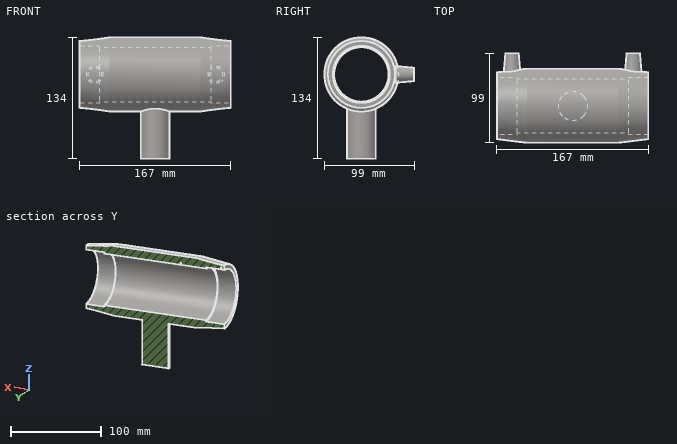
import cadquery as cq
import math

LENGTH = 167.0
BODY_RADIUS = 82.0 / 2
END_RADIUS = 73.8 / 2
TAPER_LENGTH = LENGTH / 5
SOCKET_RADIUS = 63.0 / 2
SOCKET_DEPTH = 22.0
BORE_RADIUS = 59.85 / 2

BRANCH_RADIUS = 32.0 / 2
BRANCH_REACH = 93.0

TERMINAL_REACH = 58.0
TERMINAL_TIP_RADIUS = 15.0 / 2
TERMINAL_TAPER = math.radians(5)
TERMINAL_ROOT = (SOCKET_RADIUS + END_RADIUS) / 2
TERMINAL_X = (LENGTH - TAPER_LENGTH) / 2

HALF_LENGTH = LENGTH / 2
SHOULDER_X = HALF_LENGTH - TAPER_LENGTH


def sleeve_envelope():
    """Solid outer shape of the sleeve: a cylinder with conical ends."""
    return (
        cq.Workplane("XY")
        .moveTo(-HALF_LENGTH, 0)
        .lineTo(-HALF_LENGTH, END_RADIUS)
        .lineTo(-SHOULDER_X, BODY_RADIUS)
        .lineTo(SHOULDER_X, BODY_RADIUS)
        .lineTo(HALF_LENGTH, END_RADIUS)
        .lineTo(HALF_LENGTH, 0)
        .close()
        .revolve(360, (0, 0, 0), (1, 0, 0))
    )


def axial_cylinder(radius, length):
    """Cylinder along X, centred on the origin."""
    start = cq.Workplane("YZ").workplane(offset=-length / 2)
    return start.circle(radius).extrude(length)


def branch_pipe():
    """Plain pipe from the sleeve axis down to its end."""
    return cq.Workplane("XY").circle(BRANCH_RADIUS).extrude(-BRANCH_REACH)


def terminal(x):
    """Cone rooted in the sleeve wall, narrowing towards +Y."""
    height = TERMINAL_REACH - TERMINAL_ROOT
    root_radius = TERMINAL_TIP_RADIUS + height * math.tan(TERMINAL_TAPER)
    root = cq.Vector(x, TERMINAL_ROOT, 0)
    along_y = cq.Vector(0, 1, 0)
    return cq.Solid.makeCone(root_radius, TERMINAL_TIP_RADIUS, height, root, along_y)


def stepped_bore():
    """Through bore with a wider pipe socket at each end."""
    bore = axial_cylinder(BORE_RADIUS, LENGTH)
    sockets = axial_cylinder(SOCKET_RADIUS, LENGTH)
    stop_ring = axial_cylinder(SOCKET_RADIUS, LENGTH - 2 * SOCKET_DEPTH)
    return bore.union(sockets.cut(stop_ring))


result = sleeve_envelope().union(branch_pipe())
for terminal_x in (-TERMINAL_X, TERMINAL_X):
    result = result.union(cq.Workplane(terminal(terminal_x)))
result = result.cut(stepped_bore())